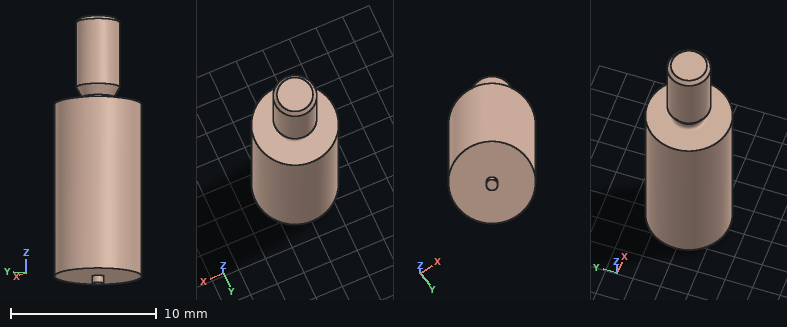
import cadquery as cq

total_height = 18.5
body_diameter = 6.0
body_height = 12.0
pin_diameter = 0.8
pin_length = 0.5
stud_diameter = 3.0
stud_chamfer = 0.25

neck_diameter = 2.2
neck_height = 0.5
taper_height = 0.7
root_fillet = 0.2

body_top = pin_length + body_height
taper_bottom = body_top + neck_height
taper_top = taper_bottom + taper_height


def cylinder(diameter, bottom, top):
    """Cylinder on the Z axis between two levels."""
    return cq.Workplane("XY").workplane(offset=bottom).circle(diameter / 2).extrude(top - bottom)


def neck():
    """Undercut neck: concave root fillet, straight neck, then a taper out to the stud."""
    neck_radius = neck_diameter / 2
    return (
        cq.Workplane("XZ")
        .moveTo(0, body_top)
        .lineTo(neck_radius + root_fillet, body_top)
        .radiusArc((neck_radius, body_top + root_fillet), root_fillet)
        .lineTo(neck_radius, taper_bottom)
        .lineTo(stud_diameter / 2, taper_top)
        .lineTo(0, taper_top)
        .close()
        .revolve(360, (0, 0, 0), (0, 1, 0))
    )


pin = cylinder(pin_diameter, 0, pin_length)
body = cylinder(body_diameter, pin_length, body_top)
stud = cylinder(stud_diameter, taper_top, total_height).faces(">Z").chamfer(stud_chamfer)

result = body.union(pin).union(neck()).union(stud)